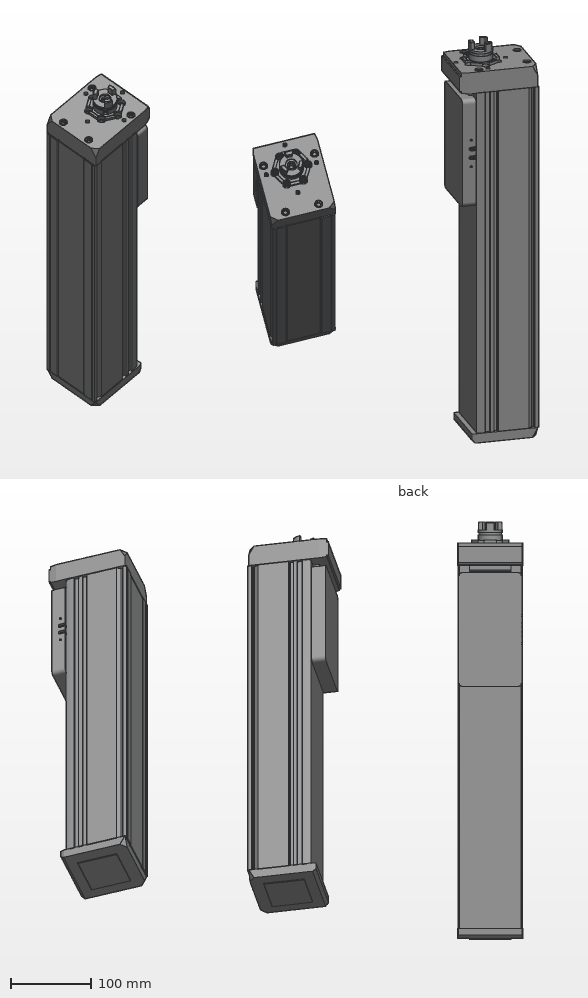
import cadquery as cq
import math


FOOT_Z = 1.5
PROFILE_BOTTOM = 14.0
PROFILE_TOP = 465.5
CAP_TOP = 493.5
JAW_BOTTOM = 509.5
UNIT_TOP = 519.5

PROFILE_HALF_WIDTH = 40.0
PROFILE_FRONT = -63.5
PROFILE_BACK = 16.5
FLANK_START = 5.5
FLANK_INSET = 1.5
CORNER_LIP_BACK = -58.5
CORNER_SLOT_X = 36.5
CORNER_SLOT_DEEP_X = 34.5
CORNER_SLOT_STEP = -57.0
CORNER_SLOT_BACK = -55.0
CORNER_CHAMFER_BACK = -50.5
SIDE_GROOVE_BACK = (-0.5, 5.5)
SIDE_GROOVE_FRONT = (-11.5, -5.0)
SIDE_GROOVE_DEPTH = 3.0
SIDE_LINE_WIDTH = 1.5
SIDE_LINE_DEPTH = 1.5
PANEL_HALF_WIDTH = 23.0
PANEL_DEPTH = 0.5
PANEL_GROOVE_WIDTH = 1.5
PANEL_GROOVE_DEPTH = 3.0
FRONT_LINE_X = 35.0
FRONT_LINE_WIDTH = 1.0

CAP_HALF_WIDTH = 41.0
CAP_FRONT = -62.0
CAP_TAPER = 1.5
TOP_CAP_TAPER_START = 28.5
TOP_CAP_BACK = 37.0
CAP_CORNER = (8.5, 7.0, 12.5)
TOP_CAP_BACK_CHAMFER = (1.5, 8.0)
PAD_THICKNESS = 2.0
PAD_BOTTOM = 469.0
PAD_TOP = 489.0
STOP_WIDTH = 52.0
STOP_BACK = 25.0
STOP_HEIGHT = 8.0
STOP_CHAMFER = 2.0
BOTTOM_CAP_TAPER_START = 18.0
BOTTOM_CAP_BACK = 23.5
BOTTOM_CAP_BACK_CHAMFER = 4.0
FOOT_WIDTH = 52.0
FOOT_FRONT = -45.5
FOOT_BACK = 5.5

SCREW_POINTS = ((-32.5, 12.0), (32.5, 12.0), (-21.5, -53.5), (21.5, -53.5))
HEAD_DIAMETER = 8.5
HEAD_RECESS_DIAMETER = 10.0
HEAD_SUNK = 1.5
HEAD_HEIGHT = 5.0
HEAD_TOP = CAP_TOP - HEAD_SUNK
HEAD_BOTTOM = HEAD_TOP - HEAD_HEIGHT
SHANK_DIAMETER = 5.0
SHANK_LENGTH = 13.0
SOCKET_WIDTH = 4.95
SOCKET_DEPTH = 2.5
PIN_HOLE_CIRCLE = 32.0
PIN_HOLE_DIAMETER = 5.0
PIN_HOLE_BOTTOM_DIAMETER = 2.45
PIN_HOLE_DEPTH = 5.0
FLANGE_HOLE_CIRCLE = 21.5
FLANGE_HOLE_DIAMETER = 10.0
FLANGE_HOLE_STEPS = ((FLANGE_HOLE_DIAMETER, 5.0), (7.5, 10.5), (4.0, 15.5))

FLANGE_HEIGHT = 3.5
FLANGE_APOTHEM = 22.5
FLANGE_RECESS_APOTHEM = 18.5
FLANGE_RECESS_DEPTH = 1.0

HUB_RADIUS = 15.0
JAW_INNER_RADIUS = 10.0
JAW_SPAN = 40
JAW_CHAMFER = 1.0
JAW_ANGLES = (90, 210, 330)
HUB_BORE_STEPS = ((14.5, 2.5), (10.0, 6.0), (7.0, JAW_BOTTOM - CAP_TOP))
HUB_GROOVE_BOTTOM = 503.5
HUB_GROOVE_TOP = 506.5
HUB_GROOVE_DEPTH = 0.8
CLAMP_HOLE_ANGLE = -45
CLAMP_HOLE_Z = 499.0
CLAMP_HOLE_DIAMETER = 3.2
CLAMP_MOUTH_DIAMETER = 6.0
CLAMP_MOUTH_DEPTH = 2.5

CARRIAGE_HALF_WIDTH = 39.5
CARRIAGE_FOOT_HALF_WIDTH = 31.0
CARRIAGE_GAP = 1.0
CARRIAGE_FRONT = PROFILE_BACK + CARRIAGE_GAP
CARRIAGE_BACK = 35.5
CARRIAGE_BOTTOM = 315.0
CARRIAGE_TOP = 456.5
CARRIAGE_ROUND = 5.5
PORT_Y = 24.0
SLOT_HEIGHT = 5.0
SLOT_INNER_HEIGHT = 2.45
SLOT_OFFSET = 5.5
PORT_OFFSET = 17.5
PORT_DIAMETER = 2.45
PORT_DEPTH = 3.0


def block(x_range, y_range, z_range):
    """Box given by its lower and upper limits along each axis."""
    (x0, x1), (y0, y1), (z0, z1) = x_range, y_range, z_range
    return cq.Workplane("XY").box(x1 - x0, y1 - y0, z1 - z0, centered=False).translate((x0, y0, z0))


def disc(diameter, bottom, top, points=((0, 0),)):
    """Vertical cylinders at the given points."""
    circles = cq.Workplane("XY", origin=(0, 0, bottom)).pushPoints(points).circle(diameter / 2)
    return circles.extrude(top - bottom)


def hexagon(apothem, bottom, top):
    """Hexagonal prism with corners on the X axis."""
    across_corners = 2 * apothem / math.cos(math.radians(30))
    return cq.Workplane("XY", origin=(0, 0, bottom)).polygon(6, across_corners).extrude(top - bottom)


def circle_points(radius, count):
    """Points evenly spaced on a circle about the drive axis, the first on +X."""
    angles = [2 * math.pi * i / count for i in range(count)]
    return [(radius * math.cos(a), radius * math.sin(a)) for a in angles]


def corner_cut(corner, legs):
    """Tetrahedron whose three square edges run from a corner along X, Y and Z."""
    x, y, z = corner
    dx, dy, dz = legs
    apex = (x, y, z)
    ends = ((x + dx, y, z), (x, y + dy, z), (x, y, z + dz))
    triangles = (
        (apex, ends[0], ends[1]),
        (apex, ends[0], ends[2]),
        (apex, ends[1], ends[2]),
        ends,
    )
    wires = [cq.Wire.makePolygon([cq.Vector(*p) for p in triangle], close=True) for triangle in triangles]
    shell = cq.Shell.makeShell([cq.Face.makeFromWires(wire) for wire in wires])
    return cq.Workplane(cq.Solid.makeSolid(shell))


def make_profile():
    right_half = (
        cq.Workplane("XY", origin=(0, 0, PROFILE_BOTTOM))
        .moveTo(0, PROFILE_FRONT)
        .lineTo(PROFILE_HALF_WIDTH, PROFILE_FRONT)
        .lineTo(PROFILE_HALF_WIDTH, CORNER_LIP_BACK)
        .lineTo(CORNER_SLOT_DEEP_X, CORNER_LIP_BACK)
        .lineTo(CORNER_SLOT_DEEP_X, CORNER_SLOT_STEP)
        .lineTo(CORNER_SLOT_X, CORNER_SLOT_STEP)
        .lineTo(CORNER_SLOT_X, CORNER_SLOT_BACK)
        .lineTo(PROFILE_HALF_WIDTH, CORNER_CHAMFER_BACK)
        .lineTo(PROFILE_HALF_WIDTH, FLANK_START)
        .tangentArcPoint((PROFILE_HALF_WIDTH - FLANK_INSET, PROFILE_BACK), relative=False)
        .lineTo(0, PROFILE_BACK)
        .close()
        .extrude(PROFILE_TOP - PROFILE_BOTTOM)
    )
    profile = right_half.union(right_half.mirror("YZ"))
    length = (PROFILE_BOTTOM, PROFILE_TOP)
    panel_floor = PROFILE_FRONT + PANEL_DEPTH
    profile = profile.cut(block((-PANEL_HALF_WIDTH, PANEL_HALF_WIDTH), (PROFILE_FRONT, panel_floor), length))

    side_floor = PROFILE_HALF_WIDTH - SIDE_GROOVE_DEPTH
    line_front = SIDE_GROOVE_FRONT[0]
    side_range = (side_floor, PROFILE_HALF_WIDTH)
    grooves = [block(side_range, y_range, length) for y_range in (SIDE_GROOVE_BACK, SIDE_GROOVE_FRONT)]
    grooves.append(block((side_floor - SIDE_LINE_DEPTH, side_floor),
                         (line_front, line_front + SIDE_LINE_WIDTH), length))
    grooves.append(block((PANEL_HALF_WIDTH - PANEL_GROOVE_WIDTH, PANEL_HALF_WIDTH),
                         (panel_floor, panel_floor + PANEL_GROOVE_DEPTH), length))
    grooves.append(block((FRONT_LINE_X, FRONT_LINE_X + FRONT_LINE_WIDTH),
                         (PROFILE_FRONT, PROFILE_FRONT + FRONT_LINE_WIDTH), length))
    for groove in grooves:
        profile = profile.cut(groove).cut(groove.mirror("YZ"))
    return profile


def cap_body(taper_start, back, bottom, top):
    """Plate with straight sides that narrow slightly towards the back."""
    back_half_width = CAP_HALF_WIDTH - CAP_TAPER
    outline = [
        (-CAP_HALF_WIDTH, CAP_FRONT),
        (CAP_HALF_WIDTH, CAP_FRONT),
        (CAP_HALF_WIDTH, taper_start),
        (back_half_width, back),
        (-back_half_width, back),
        (-CAP_HALF_WIDTH, taper_start),
    ]
    return cq.Workplane("XY", origin=(0, 0, bottom)).polyline(outline).close().extrude(top - bottom)


def cut_front_corners(cap, z, legs):
    """Slope off both front corners of a cap at height z."""
    dx, dy, dz = legs
    for side in (-1, 1):
        cap = cap.cut(corner_cut((side * CAP_HALF_WIDTH, CAP_FRONT, z), (-side * dx, dy, dz)))
    return cap


def make_screws():
    screws = []
    for point in SCREW_POINTS:
        head = disc(HEAD_DIAMETER, HEAD_BOTTOM, HEAD_TOP, [point])
        shank = disc(SHANK_DIAMETER, HEAD_BOTTOM - SHANK_LENGTH, HEAD_BOTTOM, [point])
        socket = hexagon(SOCKET_WIDTH / 2, HEAD_TOP - SOCKET_DEPTH, HEAD_TOP).translate((*point, 0))
        screws.append(head.union(shank).cut(socket))
    return screws


def make_top_cap():
    cap = cap_body(TOP_CAP_TAPER_START, TOP_CAP_BACK, PROFILE_TOP, CAP_TOP)
    rise, run = TOP_CAP_BACK_CHAMFER
    cap = cap.faces(">Y").edges("<Z").chamfer(rise, run)
    dx, dy, dz = CAP_CORNER
    cap = cut_front_corners(cap, CAP_TOP, (dx, dy, -dz))

    pad_half_width = CAP_HALF_WIDTH - CAP_TAPER
    cap = cap.union(block((-pad_half_width, pad_half_width),
                          (TOP_CAP_BACK, TOP_CAP_BACK + PAD_THICKNESS), (PAD_BOTTOM, PAD_TOP)))
    stop = block((-STOP_WIDTH / 2, STOP_WIDTH / 2), (PROFILE_BACK, STOP_BACK),
                 (PROFILE_TOP - STOP_HEIGHT, PROFILE_TOP))
    cap = cap.union(stop.faces("<Z").edges(">Y").chamfer(STOP_CHAMFER))

    cap = cap.cut(disc(HEAD_RECESS_DIAMETER, HEAD_BOTTOM, CAP_TOP, SCREW_POINTS))
    cap = cap.cut(disc(SHANK_DIAMETER, HEAD_BOTTOM - SHANK_LENGTH, HEAD_BOTTOM, SCREW_POINTS))

    pins = circle_points(PIN_HOLE_CIRCLE, 4)
    cap = cap.cut(disc(PIN_HOLE_DIAMETER, CAP_TOP - PIN_HOLE_DEPTH, CAP_TOP, pins))
    cap = cap.cut(disc(PIN_HOLE_BOTTOM_DIAMETER, CAP_TOP - 2 * PIN_HOLE_DEPTH, CAP_TOP, pins))
    bolts = circle_points(FLANGE_HOLE_CIRCLE, 6)
    for diameter, depth in FLANGE_HOLE_STEPS:
        cap = cap.cut(disc(diameter, CAP_TOP - depth, CAP_TOP, bolts))
    return cap


def make_bottom_cap():
    cap = cap_body(BOTTOM_CAP_TAPER_START, BOTTOM_CAP_BACK, FOOT_Z, PROFILE_BOTTOM)
    cap = cap.faces(">Y").edges("<Z").chamfer(BOTTOM_CAP_BACK_CHAMFER)
    cap = cut_front_corners(cap, FOOT_Z, CAP_CORNER)
    return cap.union(block((-FOOT_WIDTH / 2, FOOT_WIDTH / 2), (FOOT_FRONT, FOOT_BACK), (0, FOOT_Z)))


def make_flange():
    top = CAP_TOP + FLANGE_HEIGHT
    plate = hexagon(FLANGE_APOTHEM, CAP_TOP, top).cut(disc(2 * HUB_RADIUS, CAP_TOP, top))
    plate = plate.cut(hexagon(FLANGE_RECESS_APOTHEM, top - FLANGE_RECESS_DEPTH, top))
    return plate.cut(disc(FLANGE_HOLE_DIAMETER, CAP_TOP, top, circle_points(FLANGE_HOLE_CIRCLE, 6)))


def make_coupling():
    hub = disc(2 * HUB_RADIUS, CAP_TOP, JAW_BOTTOM)
    groove = disc(2 * HUB_RADIUS, HUB_GROOVE_BOTTOM, HUB_GROOVE_TOP).cut(
        disc(2 * (HUB_RADIUS - HUB_GROOVE_DEPTH), HUB_GROOVE_BOTTOM, HUB_GROOVE_TOP))
    hub = hub.cut(groove)

    jaw_ring = disc(2 * HUB_RADIUS, JAW_BOTTOM, UNIT_TOP).faces(">Z").chamfer(JAW_CHAMFER)
    jaw_ring = jaw_ring.cut(disc(2 * JAW_INNER_RADIUS, JAW_BOTTOM, UNIT_TOP))
    reach = 2 * HUB_RADIUS
    half_span = reach * math.tan(math.radians(JAW_SPAN / 2))
    sector = (
        cq.Workplane("XY", origin=(0, 0, JAW_BOTTOM))
        .polyline([(0, 0), (reach, -half_span), (reach, half_span)])
        .close()
        .extrude(UNIT_TOP - JAW_BOTTOM)
    )
    for angle in JAW_ANGLES:
        hub = hub.union(jaw_ring.intersect(sector.rotate((0, 0, 0), (0, 0, 1), angle)))

    for diameter, depth in HUB_BORE_STEPS:
        hub = hub.cut(disc(diameter, JAW_BOTTOM - depth, JAW_BOTTOM))

    angle = math.radians(CLAMP_HOLE_ANGLE)
    outward = cq.Vector(math.cos(angle), math.sin(angle), 0)
    axis_point = cq.Vector(0, 0, CLAMP_HOLE_Z)
    mouth_floor = axis_point + outward * (HUB_RADIUS - CLAMP_MOUTH_DEPTH)
    hole = cq.Solid.makeCylinder(CLAMP_HOLE_DIAMETER / 2, HUB_RADIUS, axis_point, outward)
    mouth = cq.Solid.makeCylinder(CLAMP_MOUTH_DIAMETER / 2, HUB_RADIUS, mouth_floor, outward)
    return hub.cut(cq.Workplane(hole)).cut(cq.Workplane(mouth))


def make_carriage():
    body = block((-CARRIAGE_HALF_WIDTH, CARRIAGE_HALF_WIDTH), (CARRIAGE_FRONT, CARRIAGE_BACK),
                 (CARRIAGE_BOTTOM, CARRIAGE_TOP))
    body = body.edges("|Y").fillet(CARRIAGE_ROUND)
    foot = block((-CARRIAGE_FOOT_HALF_WIDTH, CARRIAGE_FOOT_HALF_WIDTH), (PROFILE_BACK, CARRIAGE_FRONT),
                 (CARRIAGE_BOTTOM + CARRIAGE_ROUND, CARRIAGE_TOP - CARRIAGE_ROUND))
    body = body.union(foot)
    middle = (CARRIAGE_BOTTOM + CARRIAGE_TOP) / 2

    side = cq.Workplane("YZ", origin=(-CARRIAGE_HALF_WIDTH, 0, 0))
    ports = [(PORT_Y, middle - PORT_OFFSET), (PORT_Y, middle + PORT_OFFSET)]
    body = body.cut(side.pushPoints(ports).circle(PORT_DIAMETER / 2).extrude(PORT_DEPTH))

    for z in (middle - SLOT_OFFSET, middle + SLOT_OFFSET):
        for height, depth in ((SLOT_HEIGHT, PORT_DEPTH), (SLOT_INNER_HEIGHT, 2 * PORT_DEPTH)):
            slot = side.center(CARRIAGE_FRONT, z).slot2D(2 * (PORT_Y - CARRIAGE_FRONT) + height, height)
            body = body.cut(slot.extrude(depth))
    return body


profile = make_profile()
top_cap = make_top_cap()
bottom_cap = make_bottom_cap()
flange = make_flange()
coupling = make_coupling()
carriage = make_carriage()
screws = make_screws()

bodies = [profile, top_cap, bottom_cap, flange, coupling, carriage, *screws]
result = cq.Compound.makeCompound([body.val() for body in bodies])